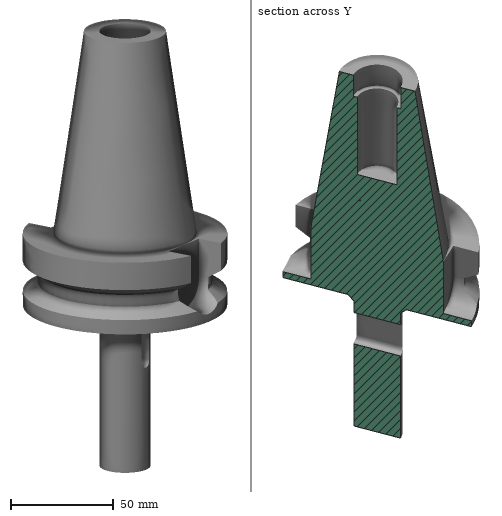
import cadquery as cq

total_height = 221.8
stem_length = 82.0
flange_height = 36.5

taper_length = 101.8
taper_large_diameter = 69.9
taper_ratio = 7 / 24

flange_diameter = 100.0
groove_diameter = 85.5
lower_rim_height = 7.3
groove_slope_height = 4.7
groove_floor_height = 6.0

stem_diameter = 25.0
neck_chamfer = 2.9

keyway_width = 26.0
keyway_floor_distance = 35.0
keyway_bottom_offset = 4.0

bore_diameter = 25.0
bore_depth = 13.3
inner_bore_diameter = 20.8
inner_bore_depth = 62.0

slot_width = 6.5
slot_length = 19.5
slot_top_drop = 10.5

flange_radius = flange_diameter / 2
groove_radius = groove_diameter / 2
stem_radius = stem_diameter / 2
taper_large_radius = taper_large_diameter / 2
taper_small_radius = taper_large_radius - taper_length * taper_ratio / 2
flange_bottom = stem_length
flange_top = flange_bottom + flange_height
taper_base = total_height - taper_length


def revolved_body():
    """Stem, grooved flange and taper as one profile turned about Z."""
    groove_start = flange_bottom + lower_rim_height
    groove_floor_start = groove_start + groove_slope_height
    groove_floor_end = groove_floor_start + groove_floor_height
    groove_end = groove_floor_end + groove_slope_height
    profile = [
        (0, 0),
        (stem_radius, 0),
        (stem_radius, flange_bottom - neck_chamfer),
        (stem_radius + neck_chamfer, flange_bottom),
        (flange_radius, flange_bottom),
        (flange_radius, groove_start),
        (groove_radius, groove_floor_start),
        (groove_radius, groove_floor_end),
        (flange_radius, groove_end),
        (flange_radius, flange_top),
        (taper_large_radius, flange_top),
        (taper_large_radius, taper_base),
        (taper_small_radius, total_height),
        (0, total_height),
    ]
    return cq.Workplane("XZ").polyline(profile).close().revolve(360, (0, 0), (0, 1))


def keyway_cutter(side):
    """Round-bottomed keyway open at the flange top; side is -1 or +1."""
    half_width = keyway_width / 2
    bottom = flange_bottom + keyway_bottom_offset
    arc_start = bottom + half_width
    return (
        cq.Workplane("YZ", origin=(side * keyway_floor_distance, 0, 0))
        .moveTo(-half_width, flange_top)
        .lineTo(-half_width, arc_start)
        .threePointArc((0, bottom), (half_width, arc_start))
        .lineTo(half_width, flange_top)
        .close()
        .extrude(side * flange_radius)
    )


def top_bore(diameter, depth):
    """Blind round hole from the top face down the axis."""
    return cq.Workplane("XY", origin=(0, 0, total_height)).circle(diameter / 2).extrude(-depth)


def stem_slot():
    """Upright round-ended slot across the whole stem."""
    slot_center = flange_bottom - slot_top_drop - slot_length / 2
    return (
        cq.Workplane("YZ", origin=(0, 0, slot_center))
        .slot2D(slot_length, slot_width, 90)
        .extrude(stem_diameter, both=True)
    )


result = revolved_body()
for side in (-1, 1):
    result = result.cut(keyway_cutter(side))
result = result.cut(top_bore(bore_diameter, bore_depth))
result = result.cut(top_bore(inner_bore_diameter, inner_bore_depth))
result = result.cut(stem_slot())